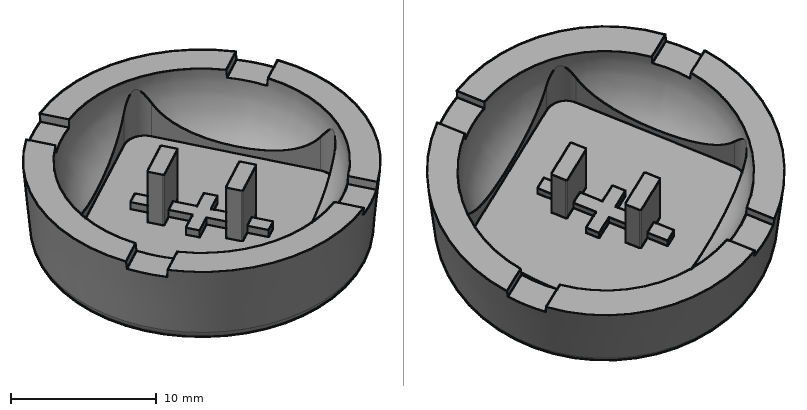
import cadquery as cq

rim_radius = 12.28
base_radius = 11.72
height = 6.6
base_fillet = 1.0

bowl_radius = 10.18
bowl_fillet = 5.0
cavity_depth = 5.09
pocket_side = 15.17
pocket_corner_radius = 1.5
floor_z = height - cavity_depth

notch_width = 3.0
notch_depth = 0.65
notch_floor_width = 2.89

cross_length = 9.98
cross_span = 4.0
cross_bar_width = 1.0
cross_height = 0.6
post_width = 1.22
post_length = 3.03
post_spacing = 5.67
post_edge_radius = 0.1
post_height = cavity_depth - notch_depth


def make_body():
    body = (
        cq.Workplane("XY")
        .circle(base_radius)
        .workplane(offset=height)
        .circle(rim_radius)
        .loft()
    )
    return body.faces("<Z").edges().fillet(base_fillet)


def make_cavity():
    floor = cq.Workplane("XY").workplane(offset=floor_z)
    bowl = floor.circle(bowl_radius).extrude(cavity_depth).faces("<Z").edges().fillet(bowl_fillet)
    pocket = (
        floor.rect(pocket_side, pocket_side)
        .extrude(cavity_depth)
        .edges("|Z")
        .fillet(pocket_corner_radius)
    )
    return bowl.union(pocket)


def make_notches():
    """Two crossing channels that cut the rim at its four quarter points."""
    channel = (
        cq.Workplane("YZ")
        .moveTo(-notch_width / 2, height)
        .lineTo(-notch_floor_width / 2, height - notch_depth)
        .lineTo(notch_floor_width / 2, height - notch_depth)
        .lineTo(notch_width / 2, height)
        .close()
        .extrude(rim_radius, both=True)
    )
    return channel.union(channel.rotate((0, 0, 0), (0, 0, 1), 90))


def make_floor_features():
    floor = cq.Workplane("XY").workplane(offset=floor_z)
    long_bar = floor.rect(cross_length, cross_bar_width).extrude(cross_height)
    short_bar = floor.rect(cross_bar_width, cross_span).extrude(cross_height)
    posts = (
        floor.pushPoints([(-post_spacing / 2, 0), (post_spacing / 2, 0)])
        .rect(post_width, post_length)
        .extrude(post_height)
        .edges("|Z")
        .fillet(post_edge_radius)
    )
    return long_bar.union(short_bar).union(posts)


result = make_body().cut(make_cavity()).cut(make_notches()).union(make_floor_features())